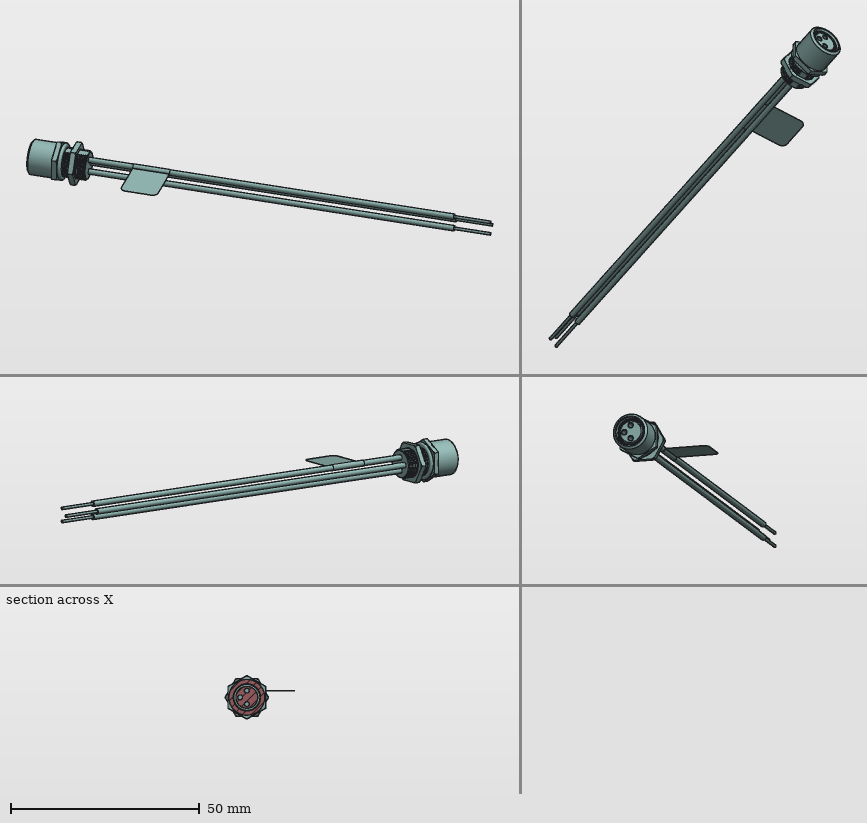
import cadquery as cq
import math

TOTAL_LENGTH = 127.3
TOTAL_WIDTH = 18.5

SLEEVE_DIAMETER = 9.5
SLEEVE_CHAMFER_LENGTH = 0.5
RIM_DIAMETER = 8.3
HEX_ACROSS_FLATS = 10.0
HEX_CORNER_CHAMFER = 0.3
FLANGE_START = 7.1
FLANGE_LENGTH = 1.4
FLANGE_TURN = 30
COLLAR_DIAMETER = HEX_ACROSS_FLATS
COLLAR_LENGTH = 1.0
THREAD_DIAMETER = 8.0
THREAD_PITCH = 0.5
THREAD_DEPTH = 0.19
SHANK_END = 16.0
SHANK_CHAMFER = 0.4
SHANK_FLAT_HEIGHT = 3.7

SOCKET_DIAMETER = 6.9
SOCKET_LEAD_IN_DIAMETER = 7.6
SOCKET_LEAD_IN_LENGTH = 0.5
SOCKET_DEPTH = 4.1
SOCKET_THREAD_DIAMETER = 7.4
SOCKET_THREAD_PITCH = 0.4

NOSE_DIAMETER = 5.9
NOSE_SETBACK = 0.6
CONTACT_HOLE_DIAMETER = 1.25
CONTACT_HOLE_DEPTH = 3.8
CONTACT_MOUTH_DIAMETER = 1.5

NUT_START = 11.7
NUT_THICKNESS = 1.5
NUT_TURN = 0

CONTACT_RADIUS = 1.8
JACKET_DIAMETER = 1.5
CONDUCTOR_DIAMETER = 0.8
STRIPPED_LENGTH = 10.0

LABEL_START = 28.4
LABEL_LENGTH = 10.2
LABEL_BAND_DIAMETER = 1.7
LABEL_THICKNESS = 0.1
LABEL_CORNER_RADIUS = 1.5

FLANGE_END = FLANGE_START + FLANGE_LENGTH
COLLAR_END = FLANGE_END + COLLAR_LENGTH
HEX_ACROSS_CORNERS = HEX_ACROSS_FLATS / math.cos(math.pi / 6)
LABEL_REACH = TOTAL_WIDTH - HEX_ACROSS_CORNERS / 2
JACKET_END = TOTAL_LENGTH - STRIPPED_LENGTH

CONTACTS = [(0, CONTACT_RADIUS), (CONTACT_RADIUS, 0), (0, -CONTACT_RADIUS)]


def rod(diameter, start, end, y=0.0, z=0.0):
    """Cylinder parallel to X between two X positions."""
    return cq.Workplane("YZ", origin=(start, y, z)).circle(diameter / 2).extrude(end - start)


def revolve_about_x(points):
    """Solid of revolution from an outline of (x, radius) points."""
    return cq.Workplane("XY").polyline(points).close().revolve(360, (0, 0, 0), (1, 0, 0))


def hexagon(start, length, turn):
    """Hexagonal prism along X; a turn of 0 degrees puts two corners on the Y axis."""
    prism = cq.Workplane("YZ", origin=(start, 0, 0)).polygon(6, HEX_ACROSS_CORNERS).extrude(length)
    return prism.rotate((0, 0, 0), (1, 0, 0), turn)


def rounded_corners(start, length, faces):
    """Turned blank whose chamfered edges take the corners off a hexagon."""
    blank = rod(HEX_ACROSS_CORNERS, start, start + length)
    return blank.faces(faces).chamfer(HEX_CORNER_CHAMFER)


def thread_profile(start, end, crest_radius, root_radius, pitch):
    """Zigzag of (x, radius) points for a whole number of ring-shaped grooves near the given pitch."""
    count = round((end - start) / pitch)
    step = (end - start) / count
    points = [(start, crest_radius)]
    for i in range(count):
        points.append((start + (i + 0.5) * step, root_radius))
        points.append((start + (i + 1) * step, crest_radius))
    return points


def make_shank():
    """Threaded shank with a chamfered end and flats at top and bottom."""
    crest = THREAD_DIAMETER / 2
    thread = thread_profile(COLLAR_END, SHANK_END, crest, crest - THREAD_DEPTH, THREAD_PITCH)
    outline = [(FLANGE_START, 0), (FLANGE_START, crest)] + thread + [(SHANK_END, 0)]
    flats = cq.Workplane("XY").box(2 * SHANK_END, THREAD_DIAMETER, 2 * SHANK_FLAT_HEIGHT)
    blank = rod(THREAD_DIAMETER, FLANGE_START, SHANK_END).faces(">X").chamfer(SHANK_CHAMFER)
    return revolve_about_x(outline).intersect(blank).intersect(flats)


def make_socket():
    """Space to cut from the housing: a threaded bore that leaves the contact nose standing."""
    bore = SOCKET_DIAMETER / 2
    thread = thread_profile(
        SOCKET_LEAD_IN_LENGTH, SOCKET_DEPTH, bore, SOCKET_THREAD_DIAMETER / 2, SOCKET_THREAD_PITCH
    )
    outline = [(0, 0), (0, SOCKET_LEAD_IN_DIAMETER / 2)] + thread + [(SOCKET_DEPTH, 0)]
    return revolve_about_x(outline).cut(rod(NOSE_DIAMETER, NOSE_SETBACK, SOCKET_DEPTH))


def make_collar():
    """Collar with a half-round rim."""
    straight_radius = (COLLAR_DIAMETER - COLLAR_LENGTH) / 2
    outline = (
        cq.Workplane("XY")
        .moveTo(FLANGE_END, 0)
        .lineTo(FLANGE_END, straight_radius)
        .threePointArc(
            (FLANGE_END + COLLAR_LENGTH / 2, COLLAR_DIAMETER / 2),
            (COLLAR_END, straight_radius),
        )
        .lineTo(COLLAR_END, 0)
        .close()
    )
    return outline.revolve(360, (0, 0, 0), (1, 0, 0))


def make_contact_hole(y, z):
    """Blind hole in the nose with a countersunk mouth."""
    bore_radius = CONTACT_HOLE_DIAMETER / 2
    mouth_radius = CONTACT_MOUTH_DIAMETER / 2
    hole_end = NOSE_SETBACK + CONTACT_HOLE_DEPTH
    countersink_end = NOSE_SETBACK + mouth_radius - bore_radius
    outline = [
        (NOSE_SETBACK, 0),
        (NOSE_SETBACK, mouth_radius),
        (countersink_end, bore_radius),
        (hole_end, bore_radius),
        (hole_end, 0),
    ]
    return revolve_about_x(outline).translate((0, y, z))


def make_housing():
    sleeve = revolve_about_x(
        [
            (0, 0),
            (0, RIM_DIAMETER / 2),
            (SLEEVE_CHAMFER_LENGTH, SLEEVE_DIAMETER / 2),
            (FLANGE_START, SLEEVE_DIAMETER / 2),
            (FLANGE_START, 0),
        ]
    )
    flange = hexagon(FLANGE_START, FLANGE_LENGTH, FLANGE_TURN)
    flange = flange.intersect(rounded_corners(FLANGE_START, FLANGE_LENGTH, ">X"))
    body = sleeve.union(flange).union(make_collar()).union(make_shank()).cut(make_socket())
    for y, z in CONTACTS:
        body = body.cut(make_contact_hole(y, z))
    return body


def make_nut():
    nut_end = NUT_START + NUT_THICKNESS
    nut = hexagon(NUT_START, NUT_THICKNESS, NUT_TURN)
    nut = nut.intersect(rounded_corners(NUT_START, NUT_THICKNESS, "|X"))
    return nut.cut(rod(THREAD_DIAMETER, NUT_START, nut_end))


def make_wire(y, z):
    jacket = rod(JACKET_DIAMETER, SHANK_END, JACKET_END, y, z)
    return jacket.union(rod(CONDUCTOR_DIAMETER, JACKET_END, TOTAL_LENGTH, y, z))


def make_label(y, z):
    """Band round the wire with a flag reaching toward -Y."""
    end = LABEL_START + LABEL_LENGTH
    band = rod(LABEL_BAND_DIAMETER, LABEL_START, end, y, z)
    flag = (
        cq.Workplane("XY")
        .box(LABEL_LENGTH, LABEL_REACH, LABEL_THICKNESS, centered=(False, False, True))
        .edges("|Z and <Y")
        .fillet(LABEL_CORNER_RADIUS)
        .translate((LABEL_START, y - LABEL_REACH, z))
    )
    return band.union(flag)


housing = make_housing()
nut = make_nut()
wires = [make_wire(y, z) for y, z in CONTACTS]
wires[0] = wires[0].union(make_label(*CONTACTS[0]))

result = cq.Compound.makeCompound([housing.val(), nut.val()] + [wire.val() for wire in wires])